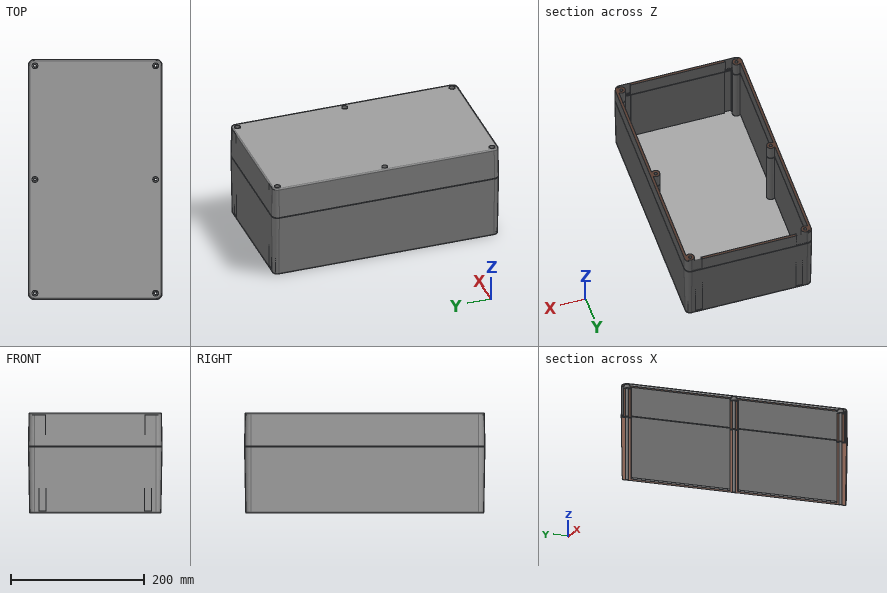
import cadquery as cq

width = 200.0
length = 360.0
height = 150.0
corner_radius = 9.5
wall_draft = 1.0
edge_fillet = 1.8

base_height = 99.5
gasket_thickness = 1.0
lid_bottom = base_height + gasket_thickness
lid_height = height - lid_bottom

wall = 5.0
floor_thickness = 3.2
roof_thickness = 3.0
cavity_width = width - 2 * wall
cavity_length = length - 2 * wall
post_radius = 6.5

screw_inset = 9.7
screw_hole_diameter = 4.0
screw_head_diameter = 8.5
screw_head_depth = 5.5
screw_x = width / 2 - screw_inset
screw_y = length / 2 - screw_inset
screw_points = [(x, y) for x in (-screw_x, screw_x) for y in (-screw_y, 0, screw_y)]

base_recess_inner_x = 73.5
base_recess_outer_x = screw_x - post_radius
base_end_wall = 2.6
lid_recess_inner_x = 74.5
lid_recess_outer_x = cavity_width / 2
lid_end_wall = 1.8
lid_recess_corner_radius = corner_radius - wall


def rounded_block(bottom, rise, draft=0.0):
    """Rounded rectangle of the full footprint; a negative rise extrudes downwards."""
    outline = cq.Sketch().rect(width, length).vertices().fillet(corner_radius)
    return cq.Workplane(origin=(0, 0, bottom)).placeSketch(outline).extrude(rise, taper=draft)


def columns(radius, bottom, top):
    """One round column on every screw axis."""
    return cq.Workplane(origin=(0, 0, bottom)).pushPoints(screw_points).circle(radius).extrude(top - bottom)


def end_recesses(inner_x, outer_x, end_wall, bottom, top):
    """Four boxes that widen the cavity towards both end walls."""
    span_x = outer_x - inner_x
    reach = length / 2 - end_wall - screw_y
    centers = [
        (side * (inner_x + span_x / 2), end * (screw_y + reach / 2))
        for side in (-1, 1)
        for end in (-1, 1)
    ]
    return cq.Workplane(origin=(0, 0, bottom)).pushPoints(centers).rect(span_x, reach).extrude(top - bottom)


def cavity(bottom, top):
    """Plain rectangular interior between two heights."""
    return cq.Workplane(origin=(0, 0, bottom)).rect(cavity_width, cavity_length).extrude(top - bottom)


def make_base():
    shell = rounded_block(base_height, -base_height, wall_draft)
    shell = shell.faces("<Z").edges().fillet(edge_fillet)
    recesses = end_recesses(
        base_recess_inner_x, base_recess_outer_x, base_end_wall, floor_thickness, base_height
    )
    posts = columns(post_radius, floor_thickness, base_height)
    interior = cavity(floor_thickness, base_height).union(recesses).cut(posts)
    screw_holes = columns(screw_hole_diameter / 2, 0, base_height)
    return shell.cut(interior).cut(screw_holes)


def make_gasket():
    sheet = rounded_block(base_height, gasket_thickness)
    opening = cavity(base_height, lid_bottom).cut(columns(post_radius, base_height, lid_bottom))
    screw_holes = columns(screw_hole_diameter / 2, base_height, lid_bottom)
    return sheet.cut(opening).cut(screw_holes)


def make_lid():
    shell = rounded_block(lid_bottom, lid_height, wall_draft)
    shell = shell.faces(">Z").edges().fillet(edge_fillet)
    roof = height - roof_thickness
    recesses = end_recesses(lid_recess_inner_x, lid_recess_outer_x, lid_end_wall, lid_bottom, roof)
    recesses = recesses.edges("|Z and (>X or <X) and (>Y or <Y)").fillet(lid_recess_corner_radius)
    posts = columns(post_radius, lid_bottom, roof)
    interior = cavity(lid_bottom, roof).union(recesses).cut(posts)
    screw_holes = columns(screw_hole_diameter / 2, lid_bottom, height)
    head_seats = columns(screw_head_diameter / 2, height - screw_head_depth, height)
    return shell.cut(interior).cut(screw_holes).cut(head_seats)


base = make_base()
gasket = make_gasket()
lid = make_lid()

result = cq.Compound.makeCompound([base.val(), gasket.val(), lid.val()])